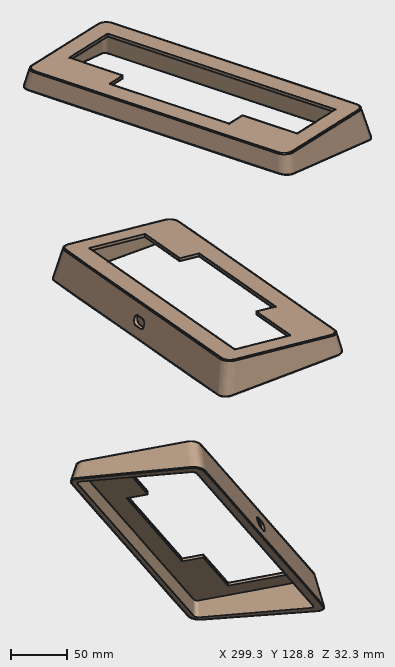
import cadquery as cq
import math

HEIGHT = 32.31
BODY_LENGTH = 300.15
BODY_DEPTH = 129.15
DRAFT_ANGLE = 12.3
BOTTOM_TILT = 6.0
CORNER_RADIUS = 10.0
EDGE_CHAMFER = 1.0

WALL = 2.0
PLATE_THICKNESS = 3.0
CAVITY_CORNER_RADIUS = 4.0

WINDOW_LENGTH = 249.6
WINDOW_DEPTH = 57.6
WINDOW_BACK_INSET = 20.3
WINDOW_SHIFT = 0.6
NOTCH_LENGTH = 131.0
NOTCH_DEPTH = 20.0

RECESS_LENGTH = 17.0
RECESS_HEIGHT = 9.4
RECESS_CENTRE_HEIGHT = 15.4
RECESS_DEPTH = 3.0

draft_slope = math.tan(math.radians(DRAFT_ANGLE))
tilt_slope = math.tan(math.radians(BOTTOM_TILT))
front_wall_height = HEIGHT - BODY_DEPTH * tilt_slope
back_overhang = HEIGHT * draft_slope
front_overhang = front_wall_height * draft_slope
top_length = BODY_LENGTH - 2 * back_overhang
top_depth = BODY_DEPTH - back_overhang - front_overhang
top_back = top_depth / 2
bottom_back = top_back + back_overhang


def below_underside():
    """Wedge of space under the sloping underside."""
    front = bottom_back - 2 * BODY_DEPTH
    return (
        cq.Workplane("YZ")
        .moveTo(bottom_back, 0)
        .lineTo(front, 2 * BODY_DEPTH * tilt_slope)
        .lineTo(front, -HEIGHT)
        .lineTo(bottom_back, -HEIGHT)
        .close()
        .extrude(BODY_LENGTH, both=True)
    )


def tapered_block():
    """Block with drafted walls, rounded corners and a sloping underside."""
    block = (
        cq.Workplane("XY")
        .rect(top_length + 2 * back_overhang, top_depth + 2 * back_overhang)
        .workplane(offset=HEIGHT)
        .rect(top_length, top_depth)
        .loft(ruled=True)
        .edges("not(|X or |Y)")
        .fillet(CORNER_RADIUS)
    )
    return block.cut(below_underside())


def bevelled_block():
    """Tapered block with bevelled top and bottom edges."""
    block = tapered_block().faces(">Z").edges().chamfer(EDGE_CHAMFER)
    return block.faces("<Z").edges().chamfer(EDGE_CHAMFER)


def cavity():
    """Straight-walled hollow reaching up to the top plate."""
    return (
        cq.Workplane("XY")
        .rect(top_length - 2 * WALL, top_depth - 2 * WALL)
        .extrude(HEIGHT - PLATE_THICKNESS)
        .edges("|Z")
        .fillet(CAVITY_CORNER_RADIUS)
    )


def window():
    """Wide opening in the top plate with a narrower notch at its front."""
    left = WINDOW_SHIFT - WINDOW_LENGTH / 2
    right = WINDOW_SHIFT + WINDOW_LENGTH / 2
    back = top_back - WINDOW_BACK_INSET
    front = back - WINDOW_DEPTH
    notch_front = front - NOTCH_DEPTH
    return (
        cq.Workplane("XY")
        .moveTo(left, back)
        .lineTo(right, back)
        .lineTo(right, front)
        .lineTo(NOTCH_LENGTH / 2, front)
        .lineTo(NOTCH_LENGTH / 2, notch_front)
        .lineTo(-NOTCH_LENGTH / 2, notch_front)
        .lineTo(-NOTCH_LENGTH / 2, front)
        .lineTo(left, front)
        .close()
        .extrude(HEIGHT)
    )


def back_recess():
    """Blind round-ended recess in the back wall, cut along Y."""
    wall_at_recess = bottom_back - RECESS_CENTRE_HEIGHT * draft_slope
    return (
        cq.Workplane("XZ", origin=(0, wall_at_recess - RECESS_DEPTH, RECESS_CENTRE_HEIGHT))
        .slot2D(RECESS_LENGTH, RECESS_HEIGHT)
        .extrude(-BODY_DEPTH)
    )


result = bevelled_block().cut(cavity()).cut(window()).cut(back_recess())